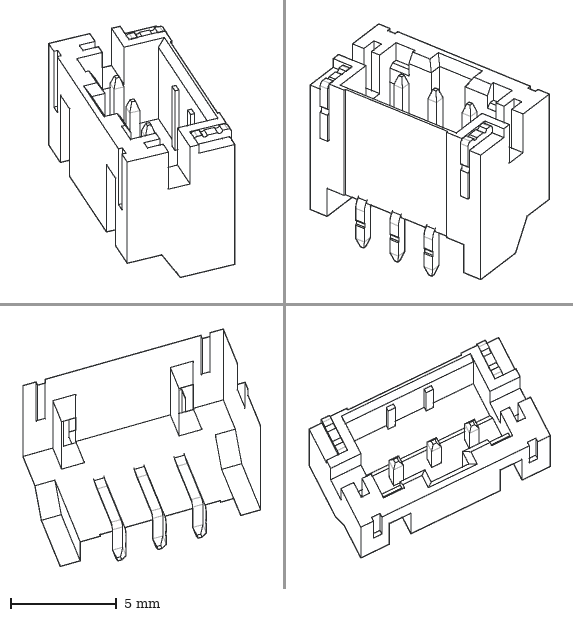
import cadquery as cq
import math


OVERLAP = 0.1

HOUSING_WIDTH = 10.0
HOUSING_DEPTH = 5.48
HOUSING_TOP = 6.0
LEG_BOTTOM = -1.6
LEG_WIDTH = 1.0
LEG_SLOPE_TOP_Y = 1.76
LEG_SLOPE_BOTTOM_Y = 2.7
REAR_RELIEF_WIDTH = 6.0
REAR_RELIEF_DEPTH = 0.09

CAVITY_WIDTH = 6.8
CAVITY_FRONT_Y = 1.27
CAVITY_REAR_Y = 4.95
CAVITY_FLOOR = 1.9
REAR_FLOOR_DROP = 0.63
FLOOR_SLOPE_RUN = 0.3
LEAD_IN_RUN = 0.3
LEAD_IN_DROP = 0.5
LEAD_IN_BOTTOM = HOUSING_TOP - LEAD_IN_DROP
KEYWAY_WIDTH = 1.98
KEYWAY_FRONT_Y = 0.6
RIB_WIDTH = 0.38
RIB_DEPTH = 0.2
RIB_TOP = 4.8

SIDE_NOTCH_FRONT_Y = 2.1
SIDE_NOTCH_REAR_Y = 3.2
SIDE_NOTCH_FLOOR = 3.8

LATCH_WIDTH = 1.1
LATCH_FRONT_Y = 0.8
LATCH_FLOOR = 5.0
LATCH_CHAMFER = 0.2
WINDOW_WIDTH = 1.14
WINDOW_OUTER_X = 3.5
WINDOW_TOP = 4.0

CLIP_WIDTH = 0.44
CLIP_CENTER_X = 4.11
CLIP_INNER_X = CLIP_CENTER_X - CLIP_WIDTH / 2
CLIP_FRONT_Y = 3.64
CLIP_TOP = 5.97
CLIP_SEAT = 5.5
CLIP_THICKNESS = CLIP_TOP - CLIP_SEAT
CLIP_BOTTOM = 2.78
CLIP_CORNER_RADIUS = 0.2
CLIP_MIDDLE_DROP = 0.07
CLIP_GROOVE_OUTER = 0.51
CLIP_GROOVE_BOTTOM = 0.38
CLIP_GROOVE_INNER = 0.26
CLIP_GROOVE_DEPTH = 0.14
CLIP_REAR_GROOVE_TOP = 4.6
CLIP_REAR_GROOVE_WIDTH = 0.34
CLIP_REAR_GROOVE_DEPTH = 0.12
SLOT_BOTTOM = HOUSING_TOP - 3.3
FRONT_SLOT_DEPTH = 0.2
INNER_SLOT_DEPTH = 0.8

MOUNT_Y = 5.58
PITCH = 2.0
PIN_SIZE = 0.51
PIN_FRONT_Y = 2.03
PIN_REAR_Y = PIN_FRONT_Y + PIN_SIZE
PIN_TOP = 5.5
TAIL_BOTTOM = -2.6
TAIL_FRONT_Y = MOUNT_Y - PIN_SIZE
TIP_LENGTH = 0.5
TIP_INSET = 0.16
TIP_TAPER = math.degrees(math.atan2(TIP_INSET, TIP_LENGTH))
ARM_BOTTOM = -0.12
ARM_TOP = ARM_BOTTOM + PIN_SIZE
BEND_INNER = 0.26
BEND_OUTER = BEND_INNER + PIN_SIZE
TAIL_NOTCH_TOP = -1.07
TAIL_NOTCH_FLOOR_LENGTH = 0.22
TAIL_NOTCH_DEPTH = 0.05

SIDES = (-1, 1)
PIN_POSITIONS = (-PITCH, 0.0, PITCH)


def block(x_min, x_max, y_min, y_max, z_min, z_max):
    """Box between two opposite corners."""
    size = (x_max - x_min, y_max - y_min, z_max - z_min)
    return cq.Workplane("XY").box(*size, centered=False).translate((x_min, y_min, z_min))


def side_block(side, x_inner, x_outer, y_min, y_max, z_min, z_max):
    """Box on the left (side = -1) or right (side = 1) of the middle plane."""
    x_min, x_max = sorted((side * x_inner, side * x_outer))
    return block(x_min, x_max, y_min, y_max, z_min, z_max)


def extrude_across(profile, width, center_x=0.0):
    """Extrude a closed YZ profile symmetrically along X."""
    return profile.extrude(width / 2, both=True).translate((center_x, 0, 0))


def housing_blank():
    """Solid block on a sloped leg at each end, relieved along its rear face."""
    half_width = HOUSING_WIDTH / 2
    body = block(-half_width, half_width, 0, HOUSING_DEPTH, 0, HOUSING_TOP)
    for side in SIDES:
        leg = cq.Workplane("YZ").polyline([
            (LEG_SLOPE_TOP_Y, 0),
            (LEG_SLOPE_BOTTOM_Y, LEG_BOTTOM),
            (HOUSING_DEPTH, LEG_BOTTOM),
            (HOUSING_DEPTH, 0),
        ]).close()
        body = body.union(extrude_across(leg, LEG_WIDTH, side * (half_width - LEG_WIDTH / 2)))
    relief = block(
        -REAR_RELIEF_WIDTH / 2, REAR_RELIEF_WIDTH / 2,
        HOUSING_DEPTH - REAR_RELIEF_DEPTH, HOUSING_DEPTH + OVERLAP,
        -OVERLAP, HOUSING_TOP + OVERLAP,
    )
    return body.cut(relief)


def cavity():
    """Mating cavity with a stepped floor, lead-ins front and rear, and a keyway."""
    profile = cq.Workplane("YZ").polyline([
        (CAVITY_FRONT_Y - LEAD_IN_RUN, HOUSING_TOP),
        (CAVITY_FRONT_Y, LEAD_IN_BOTTOM),
        (CAVITY_FRONT_Y, CAVITY_FLOOR),
        (SIDE_NOTCH_REAR_Y - FLOOR_SLOPE_RUN, CAVITY_FLOOR),
        (SIDE_NOTCH_REAR_Y, CAVITY_FLOOR - REAR_FLOOR_DROP),
        (CAVITY_REAR_Y, CAVITY_FLOOR - REAR_FLOOR_DROP),
        (CAVITY_REAR_Y, LEAD_IN_BOTTOM),
        (CAVITY_REAR_Y + LEAD_IN_RUN, HOUSING_TOP),
    ]).close()
    return extrude_across(profile, CAVITY_WIDTH).union(keyway())


def keyway():
    """Keyway in the front wall, flared at the mouth."""
    rear_y = CAVITY_FRONT_Y + LEAD_IN_RUN
    slot = block(
        -KEYWAY_WIDTH / 2, KEYWAY_WIDTH / 2, KEYWAY_FRONT_Y, rear_y, CAVITY_FLOOR, HOUSING_TOP
    )
    depth = rear_y - KEYWAY_FRONT_Y
    flare = (
        cq.Workplane("XY", origin=(0, rear_y, LEAD_IN_BOTTOM))
        .rect(KEYWAY_WIDTH, 2 * depth)
        .workplane(offset=LEAD_IN_DROP)
        .rect(KEYWAY_WIDTH + 2 * LEAD_IN_RUN, 2 * (depth + LEAD_IN_RUN))
        .loft(ruled=True)
    )
    front_half = block(
        -HOUSING_WIDTH / 2, HOUSING_WIDTH / 2, 0, rear_y, LEAD_IN_BOTTOM, HOUSING_TOP
    )
    return slot.union(flare.intersect(front_half))


def latch_recess(side):
    """Recess in a front corner of the cavity, with a chamfered ledge."""
    profile = cq.Workplane("YZ").polyline([
        (LATCH_FRONT_Y, HOUSING_TOP),
        (LATCH_FRONT_Y, LATCH_FLOOR),
        (CAVITY_FRONT_Y - LATCH_CHAMFER, LATCH_FLOOR),
        (CAVITY_FRONT_Y, LATCH_FLOOR - LATCH_CHAMFER),
        (CAVITY_FRONT_Y, HOUSING_TOP),
    ]).close()
    return extrude_across(profile, LATCH_WIDTH, side * (CAVITY_WIDTH - LATCH_WIDTH) / 2)


def window(side):
    """Opening in the front wall, from the underside up to the latch bar."""
    return side_block(
        side, WINDOW_OUTER_X - WINDOW_WIDTH, WINDOW_OUTER_X,
        -OVERLAP, CAVITY_FRONT_Y, -OVERLAP, WINDOW_TOP,
    )


def side_notch(side):
    """Notch through a side wall into the cavity."""
    return side_block(
        side, CAVITY_WIDTH / 2 - OVERLAP, HOUSING_WIDTH / 2 + OVERLAP,
        SIDE_NOTCH_FRONT_Y, SIDE_NOTCH_REAR_Y, SIDE_NOTCH_FLOOR, HOUSING_TOP + OVERLAP,
    )


def clip_seat(side):
    """Step at a rear top corner that the clip lies on, with a groove for its leg."""
    outer_x = HOUSING_WIDTH / 2 + OVERLAP
    step = side_block(
        side, CLIP_INNER_X, outer_x,
        CLIP_FRONT_Y, HOUSING_DEPTH + OVERLAP, CLIP_SEAT, HOUSING_TOP + OVERLAP,
    )
    groove = side_block(
        side, CLIP_INNER_X, CLIP_INNER_X + CLIP_WIDTH,
        MOUNT_Y - CLIP_THICKNESS, HOUSING_DEPTH + OVERLAP, CLIP_BOTTOM, HOUSING_TOP,
    )
    return step.union(groove)


def end_slots(side):
    """Slot in the front face and slot in front of the side notch, in line with the clip."""
    x_outer = CLIP_INNER_X + CLIP_WIDTH
    z_max = HOUSING_TOP + OVERLAP
    front = side_block(
        side, CLIP_INNER_X, x_outer, -OVERLAP, FRONT_SLOT_DEPTH, SLOT_BOTTOM, z_max
    )
    inner = side_block(
        side, CLIP_INNER_X, x_outer,
        SIDE_NOTCH_FRONT_Y - INNER_SLOT_DEPTH, SIDE_NOTCH_FRONT_Y, SLOT_BOTTOM, z_max,
    )
    return front.union(inner)


def cavity_rib(center_x):
    """Upright rib on the cavity's rear wall, midway between two contacts."""
    return block(
        center_x - RIB_WIDTH / 2, center_x + RIB_WIDTH / 2,
        CAVITY_REAR_Y - RIB_DEPTH, CAVITY_REAR_Y + OVERLAP,
        CAVITY_FLOOR - REAR_FLOOR_DROP - OVERLAP, RIB_TOP,
    )


def make_housing(contacts):
    """Complete housing, with a matching passage for every contact."""
    body = housing_blank().cut(cavity())
    for side in SIDES:
        for cutter in (latch_recess, window, side_notch, clip_seat, end_slots):
            body = body.cut(cutter(side))
        body = body.union(cavity_rib(side * PITCH / 2))
    for contact in contacts:
        body = body.cut(contact)
    return body


def contact_tip(center_y, base_z, direction):
    """Tapered square tip pointing up (direction = 1) or down (direction = -1)."""
    tip = cq.Workplane("XY").rect(PIN_SIZE, PIN_SIZE).extrude(TIP_LENGTH, taper=TIP_TAPER)
    if direction < 0:
        tip = tip.mirror("XY")
    return tip.translate((0, center_y, base_z))


def make_contact(center_x):
    """Square pin bent rearwards under the housing and down again into a tail."""
    pin_base = PIN_TOP - TIP_LENGTH
    tail_base = TAIL_BOTTOM + TIP_LENGTH
    notch_y = MOUNT_Y - TAIL_NOTCH_DEPTH
    notch_bottom = TAIL_NOTCH_TOP - TAIL_NOTCH_FLOOR_LENGTH
    profile = (
        cq.Workplane("YZ")
        .moveTo(PIN_FRONT_Y, pin_base)
        .lineTo(PIN_FRONT_Y, ARM_BOTTOM + BEND_OUTER)
        .radiusArc((PIN_FRONT_Y + BEND_OUTER, ARM_BOTTOM), -BEND_OUTER)
        .lineTo(TAIL_FRONT_Y - BEND_INNER, ARM_BOTTOM)
        .radiusArc((TAIL_FRONT_Y, ARM_BOTTOM - BEND_INNER), BEND_INNER)
        .lineTo(TAIL_FRONT_Y, tail_base)
        .lineTo(MOUNT_Y, tail_base)
        .lineTo(MOUNT_Y, notch_bottom - TAIL_NOTCH_DEPTH)
        .lineTo(notch_y, notch_bottom)
        .lineTo(notch_y, TAIL_NOTCH_TOP)
        .lineTo(MOUNT_Y, TAIL_NOTCH_TOP)
        .lineTo(MOUNT_Y, ARM_TOP - BEND_OUTER)
        .radiusArc((MOUNT_Y - BEND_OUTER, ARM_TOP), -BEND_OUTER)
        .lineTo(PIN_REAR_Y + BEND_INNER, ARM_TOP)
        .radiusArc((PIN_REAR_Y, ARM_TOP + BEND_INNER), BEND_INNER)
        .lineTo(PIN_REAR_Y, pin_base)
        .close()
    )
    contact = extrude_across(profile, PIN_SIZE)
    contact = contact.union(contact_tip(PIN_FRONT_Y + PIN_SIZE / 2, pin_base, 1))
    contact = contact.union(contact_tip(TAIL_FRONT_Y + PIN_SIZE / 2, tail_base, -1))
    return contact.translate((center_x, 0, 0))


def make_clip(center_x):
    """L-shaped solder clip with two grooves on top and one in its rear face."""
    middle_y = (CLIP_FRONT_Y + MOUNT_Y) / 2
    middle_z = CLIP_TOP - CLIP_MIDDLE_DROP
    groove_z = CLIP_TOP - CLIP_GROOVE_DEPTH
    corner_z = CLIP_TOP - CLIP_CORNER_RADIUS
    rear_groove_middle = CLIP_REAR_GROOVE_TOP - CLIP_REAR_GROOVE_WIDTH / 2
    rear_groove_bottom = CLIP_REAR_GROOVE_TOP - CLIP_REAR_GROOVE_WIDTH
    leg_front_y = MOUNT_Y - CLIP_THICKNESS
    profile = (
        cq.Workplane("YZ")
        .moveTo(CLIP_FRONT_Y, CLIP_SEAT)
        .lineTo(CLIP_FRONT_Y, corner_z)
        .radiusArc((CLIP_FRONT_Y + CLIP_CORNER_RADIUS, CLIP_TOP), CLIP_CORNER_RADIUS)
        .lineTo(middle_y - CLIP_GROOVE_OUTER, CLIP_TOP)
        .threePointArc(
            (middle_y - CLIP_GROOVE_BOTTOM, groove_z), (middle_y - CLIP_GROOVE_INNER, middle_z)
        )
        .lineTo(middle_y + CLIP_GROOVE_INNER, middle_z)
        .threePointArc(
            (middle_y + CLIP_GROOVE_BOTTOM, groove_z), (middle_y + CLIP_GROOVE_OUTER, CLIP_TOP)
        )
        .lineTo(MOUNT_Y - CLIP_CORNER_RADIUS, CLIP_TOP)
        .radiusArc((MOUNT_Y, corner_z), CLIP_CORNER_RADIUS)
        .lineTo(MOUNT_Y, CLIP_REAR_GROOVE_TOP)
        .threePointArc(
            (MOUNT_Y - CLIP_REAR_GROOVE_DEPTH, rear_groove_middle), (MOUNT_Y, rear_groove_bottom)
        )
        .lineTo(MOUNT_Y, CLIP_BOTTOM)
        .lineTo(leg_front_y, CLIP_BOTTOM)
        .lineTo(leg_front_y, CLIP_SEAT)
        .close()
    )
    return extrude_across(profile, CLIP_WIDTH, center_x)


contacts = [make_contact(center_x) for center_x in PIN_POSITIONS]
clips = [make_clip(side * CLIP_CENTER_X) for side in SIDES]
housing = make_housing(contacts)

result = cq.Compound.makeCompound(
    [housing.solids().val()]
    + [contact.solids().val() for contact in contacts]
    + [clip.solids().val() for clip in clips]
)